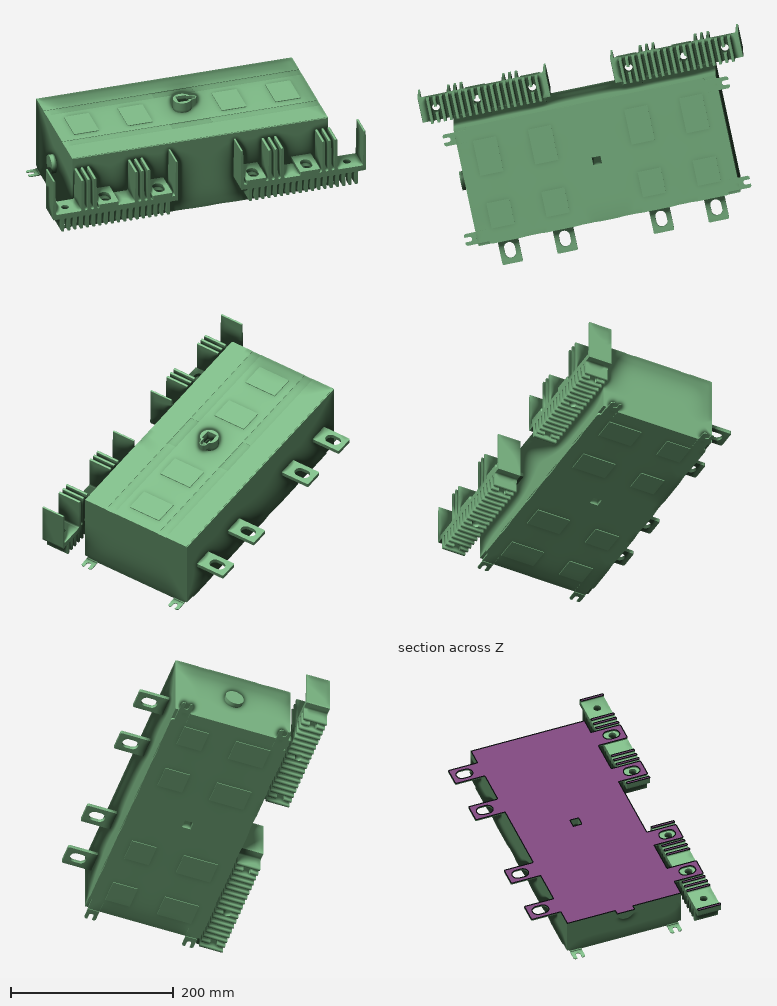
import cadquery as cq
import math

total_width = 227.0
total_length = 402.69
total_height = 113.5

body_width = 150.0
body_length = 329.0
body_bottom = 1.0
body_top = 100.0
lid_setback = 1.2
lid_step = 0.5
groove_inner = 32.0
groove_outer = 44.3
groove_depth = 0.5
groove_middle_length = 52.0
groove_middle_depth = 0.8

inner_pole = 60.5
pole_pitch = 69.0
outer_pole = inner_pole + pole_pitch
poles = [-outer_pole, -inner_pole, inner_pole, outer_pole]
bar_width = 25.6
bar_thickness = 5.0
bar_middle_z = 50.0
bar_bottom = bar_middle_z - bar_thickness / 2
bar_corner = 1.0
slot_length = 20.5
slot_width = 13.5
slot_x = 96.8

pad_thickness = 1.0
top_pad_width = 43.0
top_pad_length = 32.0
bottom_pad_length = 29.0
bottom_pad_spans = [(-56.0, -24.0), (11.5, 56.0)]

recess_height = 2.6
side_recess_depth = 0.8
side_recess_length = 32.0
side_recess_offset = pole_pitch / 2
corner_recess_width = 19.0
corner_recess_length = 17.5
corner_recess_rounding = 3.0

foot_x = 63.75
foot_width = 15.0
foot_thickness = 1.2
foot_tip_y = 179.3
foot_riser_y = 166.2
foot_slot_width = 6.0
foot_slot_end_y = 170.3
foot_corner = 1.8

knob_diameter = 23.0
knob_socket = 13.3
shaft_hole = 10.9
finger_tip_y = 18.0
finger_tip_radius = 4.9
finger_root_half_width = 5.7
finger_root_y = 9.5
finger_height = 8.5
finger_floor = 2.0
finger_wall = 1.0
boss_diameter = 23.5
boss_length = 6.5

sink_length_x = 30.5
sink_outer_y = total_length / 2
sink_inner_y = 40.4
sink_middle_y = (sink_outer_y + sink_inner_y) / 2
sink_base_bottom = 40.5
sink_plate_top = 96.5
sink_fin_top = 91.0
sink_fin_bottom = 22.2
sink_fin_pitch = 8.0
sink_crown = 0.8
sink_plate_root = 3.9
sink_plate_tip = 2.4
sink_plate_setback = 0.4
sink_plate_fillet = 1.2
upper_fin_root = 3.8
upper_fin_tip = 3.2
upper_fin_count = 3
upper_fin_offset = 25.4
lower_fin_root = 4.0
lower_fin_tip = 3.6
lower_fin_count = 18
sink_edge_chamfer_y = 0.5
sink_edge_chamfer_z = 2.2
sink_hole_diameter = 9.7
sink_hole_x = 98.5
sink_end_hole_y = 181.4

overlap = 1.0
arc_middle = 1 - math.sqrt(0.5)


def block(x_span, y_span, z_span):
    """Box given by its limits along each axis."""
    size = [high - low for low, high in (x_span, y_span, z_span)]
    corner = (x_span[0], y_span[0], z_span[0])
    return cq.Workplane("XY").box(*size, centered=False).translate(corner)


def centred(middle, length):
    """Limits of a span given by its middle and length."""
    return (middle - length / 2, middle + length / 2)


def corner_copies(shape):
    """The shape together with its mirror images across the XZ and YZ planes."""
    pair = shape.union(shape.mirror("XZ"))
    return pair.union(pair.mirror("YZ"))


def make_side_recess(side, y):
    """Shallow bow-shaped cut in a long side of the housing."""
    wall_x = side * body_width / 2
    start_y, end_y = centred(y, side_recess_length)
    return (
        cq.Workplane("XY", origin=(0, 0, body_bottom))
        .moveTo(wall_x, start_y)
        .threePointArc((wall_x - side * side_recess_depth, y), (wall_x, end_y))
        .close()
        .extrude(recess_height)
    )


def make_corner_recess():
    """Cut for a mounting foot, its end wall rounded over into the long side."""
    outer_x = body_width / 2
    inner_x = outer_x - corner_recess_width
    end_y = body_length / 2
    start_y = end_y - corner_recess_length
    wall_y = start_y + corner_recess_rounding
    bend = corner_recess_rounding * arc_middle
    return (
        cq.Workplane("XY", origin=(0, 0, body_bottom))
        .moveTo(outer_x, start_y)
        .threePointArc((outer_x - bend, wall_y - bend), (outer_x - corner_recess_rounding, wall_y))
        .lineTo(inner_x, wall_y)
        .lineTo(inner_x, end_y)
        .lineTo(outer_x, end_y)
        .close()
        .extrude(recess_height)
    )


def make_housing():
    half_width = body_width / 2
    half_length = body_length / 2
    full_y = (-half_length, half_length)
    housing = block((-half_width, half_width), full_y, (body_bottom, body_top))

    for side in (-1, 1):
        ledge_x = sorted((side * half_width, side * (half_width - lid_setback)))
        housing = housing.cut(block(ledge_x, full_y, (body_top - lid_step, body_top)))

        groove_x = sorted((side * groove_inner, side * groove_outer))
        housing = housing.cut(block(groove_x, full_y, (body_top - groove_depth, body_top)))
        middle_y = centred(0, groove_middle_length)
        housing = housing.cut(block(groove_x, middle_y, (body_top - groove_middle_depth, body_top)))

        for middle in (-inner_pole, inner_pole):
            for offset in (-side_recess_offset, side_recess_offset):
                housing = housing.cut(make_side_recess(side, middle + offset))

    return housing.cut(corner_copies(make_corner_recess()))


def make_pads():
    pads = cq.Workplane("XY")
    top_z = (body_top - overlap, body_top + pad_thickness)
    bottom_z = (body_bottom - pad_thickness, body_bottom + overlap)
    for pole in poles:
        pads = pads.union(block(centred(0, top_pad_width), centred(pole, top_pad_length), top_z))
        for span in bottom_pad_spans:
            pads = pads.union(block(span, centred(pole, bottom_pad_length), bottom_z))
    return pads


def make_busbars():
    """One slotted bar through the housing at each pole."""
    bars = cq.Workplane("XY")
    for pole in poles:
        bar = block(centred(0, total_width), centred(pole, bar_width), centred(bar_middle_z, bar_thickness))
        bar = bar.edges("|Z").chamfer(bar_corner)
        slots = (
            cq.Workplane("XY", origin=(0, pole, bar_bottom))
            .pushPoints([(-slot_x, 0), (slot_x, 0)])
            .slot2D(slot_length, slot_width)
            .extrude(bar_thickness)
        )
        bars = bars.union(bar.cut(slots))
    return bars


def make_feet():
    """Four forked feet, each stepped up into a corner recess of the housing."""
    foot_x_span = centred(foot_x, foot_width)
    housing_end = body_length / 2
    root_y = housing_end - corner_recess_length
    tab = block(foot_x_span, (housing_end, foot_tip_y), (0, foot_thickness))
    tab = tab.edges("|Z and >Y").chamfer(foot_corner)
    root = block(foot_x_span, (root_y, housing_end), (body_bottom, body_bottom + recess_height))
    step = block(foot_x_span, (housing_end, foot_riser_y), (0, body_bottom + foot_thickness))
    slot_end = foot_slot_end_y + foot_slot_width / 2
    fork = block(centred(foot_x, foot_slot_width), (slot_end, foot_tip_y), (0, foot_thickness))
    round_end = (
        cq.Workplane("XY", origin=(foot_x, slot_end, 0)).circle(foot_slot_width / 2).extrude(foot_thickness)
    )
    return corner_copies(tab.cut(fork).cut(round_end).union(step).union(root))


def finger_outline(inset):
    """Plan outline of the knob's pointer, drawn in from the outer edge by the inset."""
    tip_radius = finger_tip_radius - inset
    tip_middle_y = finger_tip_y - finger_tip_radius
    root = tip_radius if inset else finger_root_half_width
    return (
        cq.Workplane("XY", origin=(0, 0, total_height - finger_height))
        .moveTo(-root, 0)
        .lineTo(-root, finger_root_y)
        .lineTo(-tip_radius, tip_middle_y)
        .threePointArc((0, tip_middle_y + tip_radius), (tip_radius, tip_middle_y))
        .lineTo(root, finger_root_y)
        .lineTo(root, 0)
        .close()
    )


def make_knob():
    """Round shaft knob with a hollow pointer and a square socket."""
    knob = (
        cq.Workplane("XY", origin=(0, 0, body_top - overlap))
        .circle(knob_diameter / 2)
        .extrude(total_height - body_top + overlap)
    )
    knob = knob.union(finger_outline(0).extrude(finger_height))
    hollow = finger_outline(finger_wall).extrude(finger_height).translate((0, 0, finger_floor))
    socket = block(centred(0, knob_socket), centred(0, knob_socket), (body_top, total_height))
    return knob.cut(hollow).cut(socket)


def make_boss():
    """Round boss in the middle of the -Y end face."""
    return (
        cq.Workplane("XZ", origin=(0, -body_length / 2 + overlap, bar_middle_z))
        .circle(boss_diameter / 2)
        .extrude(boss_length + overlap)
    )


def sink_sketch():
    return cq.Workplane("YZ", origin=(total_width / 2 - sink_length_x, 0, 0))


def make_fin_row(positions, root_z, tip_z, root_width, tip_width):
    """Row of tapered fins with round valleys, rising or hanging from the heat sink base."""
    direction = 1 if tip_z > root_z else -1
    half_root = root_width / 2
    half_tip = tip_width / 2
    valley_radius = (sink_fin_pitch - root_width) / 2
    bend = valley_radius * arc_middle
    bend_z = root_z + direction * bend
    flare_z = root_z + direction * valley_radius
    shoulder_z = tip_z - direction * sink_crown
    sunk_z = root_z - direction * overlap
    start_y = positions[0] - sink_fin_pitch / 2
    end_y = positions[-1] + sink_fin_pitch / 2

    outline = sink_sketch().moveTo(start_y, sunk_z).lineTo(start_y, root_z)
    for y in positions:
        if y == positions[0]:
            outline = outline.threePointArc((y - half_root - bend, bend_z), (y - half_root, flare_z))
        else:
            outline = outline.threePointArc((y - sink_fin_pitch / 2, root_z), (y - half_root, flare_z))
        outline = (
            outline.lineTo(y - half_tip, shoulder_z)
            .threePointArc((y, tip_z), (y + half_tip, shoulder_z))
            .lineTo(y + half_root, flare_z)
        )
    last_bend = (positions[-1] + half_root + bend, bend_z)
    outline = outline.threePointArc(last_bend, (end_y, root_z))
    return outline.lineTo(end_y, sunk_z).close().extrude(sink_length_x)


def make_end_plate(outer_y, inward):
    """Upright plate at one end of the heat sink, thinning towards its top."""
    root_y = outer_y + inward * sink_plate_root
    tip_start = outer_y + inward * sink_plate_setback
    tip_end = tip_start + inward * sink_plate_tip
    tip_middle = (tip_start + tip_end) / 2
    shoulder_z = sink_plate_top - sink_crown
    bend = sink_plate_fillet * arc_middle
    fillet_y = root_y + inward * sink_plate_fillet
    return (
        sink_sketch()
        .moveTo(outer_y, sink_base_bottom + sink_edge_chamfer_z)
        .lineTo(tip_start, shoulder_z)
        .threePointArc((tip_middle, sink_plate_top), (tip_end, shoulder_z))
        .lineTo(root_y, bar_bottom + sink_plate_fillet)
        .threePointArc((root_y + inward * bend, bar_bottom + bend), (fillet_y, bar_bottom))
        .lineTo(fillet_y, sink_base_bottom + sink_edge_chamfer_z)
        .close()
        .extrude(sink_length_x)
    )


def fin_positions(middle, count):
    first = middle - (count - 1) * sink_fin_pitch / 2
    return [first + index * sink_fin_pitch for index in range(count)]


def make_heat_sink():
    """Extruded heat sink under the two +Y busbars."""
    sink = (
        sink_sketch()
        .moveTo(sink_inner_y + sink_plate_root, bar_bottom)
        .lineTo(sink_outer_y - sink_plate_root, bar_bottom)
        .lineTo(sink_outer_y, sink_base_bottom + sink_edge_chamfer_z)
        .lineTo(sink_outer_y - sink_edge_chamfer_y, sink_base_bottom)
        .lineTo(sink_inner_y + sink_edge_chamfer_y, sink_base_bottom)
        .lineTo(sink_inner_y, sink_base_bottom + sink_edge_chamfer_z)
        .close()
        .extrude(sink_length_x)
    )
    sink = sink.union(make_end_plate(sink_outer_y, -1))
    sink = sink.union(make_end_plate(sink_inner_y, 1))

    for pole in (inner_pole, outer_pole):
        group = fin_positions(pole + upper_fin_offset, upper_fin_count)
        fins = make_fin_row(group, bar_bottom, sink_fin_top, upper_fin_root, upper_fin_tip)
        sink = sink.union(fins)
    lower_row = fin_positions(sink_middle_y, lower_fin_count)
    fins = make_fin_row(lower_row, sink_base_bottom, sink_fin_bottom, lower_fin_root, lower_fin_tip)
    sink = sink.union(fins)

    holes = (
        cq.Workplane("XY", origin=(sink_hole_x, 0, sink_fin_bottom))
        .pushPoints([(0, inner_pole), (0, outer_pole), (0, sink_end_hole_y)])
        .circle(sink_hole_diameter / 2)
        .extrude(bar_bottom - sink_fin_bottom)
    )
    return sink.cut(holes)


heat_sink = make_heat_sink()
shaft_passage = block(centred(0, shaft_hole), centred(0, shaft_hole), (0, total_height))

result = (
    make_housing()
    .union(make_pads())
    .union(make_busbars())
    .union(make_feet())
    .union(make_knob())
    .union(make_boss())
    .cut(shaft_passage)
    .union(heat_sink)
    .union(heat_sink.mirror("XZ"))
)